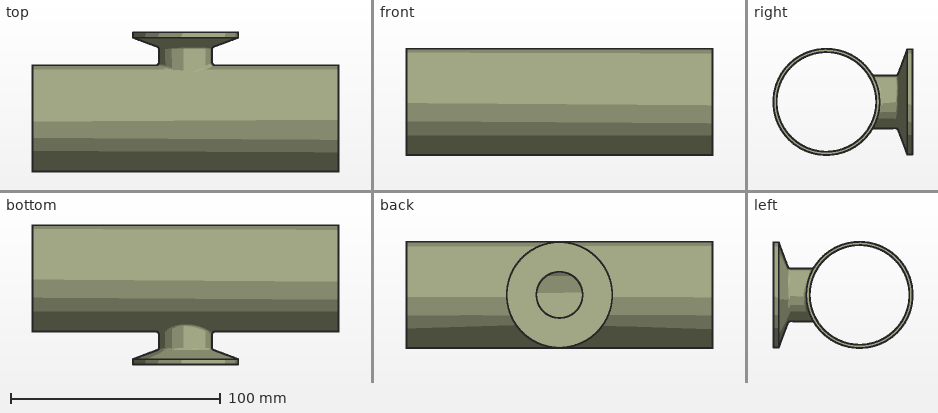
import cadquery as cq

tube_length = 146.0
tube_diameter = 50.8
tube_bore = 47.5

branch_reach = 41.2
neck_diameter = 25.4
neck_bore = 22.0
flange_diameter = 50.4
rim_thickness = 2.6
flange_depth = 7.3

face_round = 0.5
neck_round = 1.0
weld_round = 1.5

neck_radius = neck_diameter / 2
flange_radius = flange_diameter / 2
rim_back = branch_reach - rim_thickness
cone_foot = branch_reach - flange_depth


def x_cylinder(diameter):
    """Cylinder along the tube axis, centred on the origin."""
    return cq.Workplane("YZ").circle(diameter / 2).extrude(tube_length / 2, both=True)


def branch_body():
    """Solid neck and conical flange turned about the Y axis, with the cone blended into the neck."""
    body = (
        cq.Workplane("XY")
        .lineTo(neck_radius, 0)
        .lineTo(neck_radius, cone_foot)
        .lineTo(flange_radius, rim_back)
        .lineTo(flange_radius, branch_reach)
        .lineTo(0, branch_reach)
        .close()
        .revolve(360, (0, 0, 0), (0, 1, 0))
    )
    body = body.edges("%CIRCLE").edges(">>Y[1]").fillet(neck_round)
    return body.faces(">Y").edges().fillet(face_round)


def weld_branch(tube, branch):
    """Join the branch to the tube and round the corner where the neck meets the tube."""
    joined = tube.union(branch)
    weld_zone = cq.selectors.BoxSelector(
        (-neck_diameter, 0, -neck_diameter),
        (neck_diameter, cone_foot - neck_round, neck_diameter),
        boundingbox=True,
    )
    return joined.edges("not %LINE").edges(weld_zone).fillet(weld_round)


solid_tee = weld_branch(x_cylinder(tube_diameter), branch_body())
branch_hole = cq.Workplane("XZ").circle(neck_bore / 2).extrude(-branch_reach)

result = solid_tee.cut(x_cylinder(tube_bore)).cut(branch_hole)